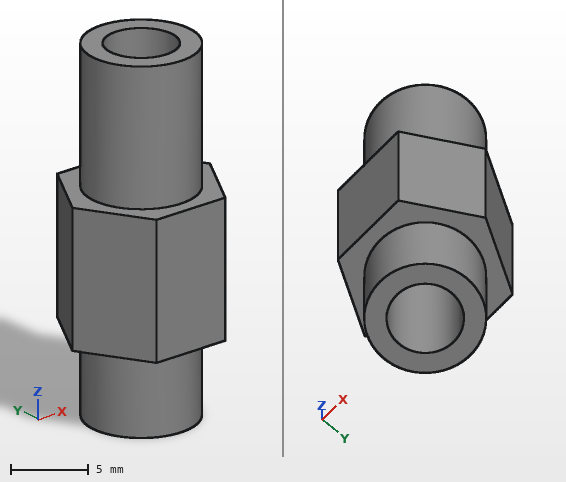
import cadquery as cq
import math

total_length = 26.0
lower_length = 6.0
hex_length = 10.0
hex_across_flats = 10.0
tube_diameter = 7.88
bore_diameter = 5.0

hex_across_corners = hex_across_flats / math.cos(math.pi / 6)

tube = cq.Workplane("XY").circle(tube_diameter / 2).extrude(total_length)

hex_body = (
    cq.Workplane("XY")
    .workplane(offset=lower_length)
    .polygon(6, hex_across_corners)
    .extrude(hex_length)
)

bore = cq.Workplane("XY").circle(bore_diameter / 2).extrude(total_length)

result = tube.union(hex_body).cut(bore)